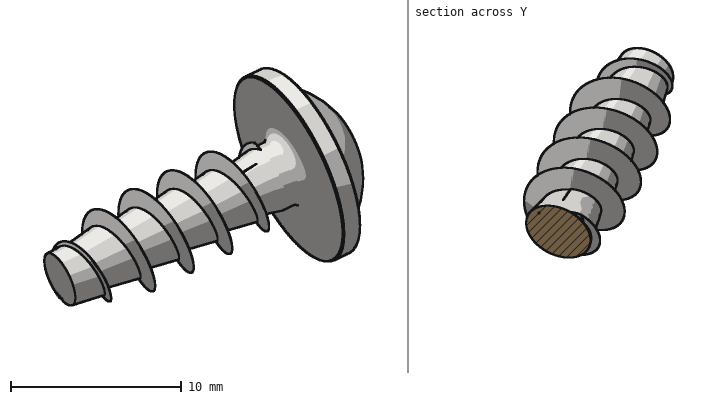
import cadquery as cq
import math

total_length = 19.6

flange_radius = 6.0
flange_top = 2.4
flange_bottom = 3.63
flange_chamfer = 0.08
dome_top_radius = 2.43
dome_sphere_radius = 5.6

neck_radius = 2.04
neck_fillet = 0.75
neck_end = 5.05
core_radius = 1.57
core_start = 7.25
tip_point_height = 0.05

pitch = 2.69
thread_start = 4.78
thread_turns = 6
crest_radius = 3.0
crest_start_radius = 2.3
crest_end_radius = 1.69
full_crest_start = 1.0
full_crest_end = 4.0
slope_fade_start = 4.5
fade_end = 5.5
front_width = 0.47
back_width = 0.59
foot_radius = 1.47
ramp_low_radius = 1.63
ramp_length = 2.59
buried_radius = 1.18
pieces_per_turn = 2
samples_per_piece = 12


def make_body():
    """Revolve the head and the plain shank about the screw axis."""
    sphere_depth = math.sqrt(dome_sphere_radius**2 - dome_top_radius**2)

    def dome_radius(depth):
        return math.sqrt(dome_sphere_radius**2 - (sphere_depth - depth) ** 2)

    shank_end = total_length - tip_point_height
    fillet_mid = neck_fillet * (1 - math.sqrt(0.5))
    return (
        cq.Workplane("XY")
        .moveTo(0, 0)
        .lineTo(dome_top_radius, 0)
        .threePointArc(
            (dome_radius(flange_top / 2), -flange_top / 2),
            (dome_radius(flange_top), -flange_top),
        )
        .lineTo(flange_radius - flange_chamfer, -flange_top)
        .lineTo(flange_radius, -flange_top - flange_chamfer)
        .lineTo(flange_radius, -flange_bottom + flange_chamfer)
        .lineTo(flange_radius - flange_chamfer, -flange_bottom)
        .lineTo(neck_radius + neck_fillet, -flange_bottom)
        .threePointArc(
            (neck_radius + fillet_mid, -flange_bottom - fillet_mid),
            (neck_radius, -flange_bottom - neck_fillet),
        )
        .lineTo(neck_radius, -neck_end)
        .lineTo(core_radius, -core_start)
        .lineTo(core_radius, -shank_end)
        .lineTo(0, -total_length)
        .close()
        .revolve(360, (0, 0, 0), (0, 1, 0))
    )


def blend(turn, first_turn, last_turn, first_value, last_value):
    """Change a value evenly between two turns and hold it level outside them."""
    part = (turn - first_turn) / (last_turn - first_turn)
    part = min(max(part, 0), 1)
    return first_value + part * (last_value - first_value)


def crest_at(turn):
    """Crest radius: rises below the neck, stays level, then fades out at the tip."""
    if turn < full_crest_start:
        return blend(turn, 0, full_crest_start, crest_start_radius, crest_radius)
    return blend(turn, full_crest_end, fade_end, crest_radius, crest_end_radius)


def fin_section(turn):
    """Corners of the pointed fin as (offset along the axis, radius)."""
    crest = crest_at(turn)
    fin_scale = (crest - foot_radius) / (crest_radius - foot_radius)
    return [
        (-front_width * fin_scale, foot_radius),
        (0, crest),
        (back_width * fin_scale, foot_radius),
    ]


def ramp_section(turn):
    """Corners of the core slope between two fins as (offset along the axis, radius)."""
    high_radius = blend(turn, slope_fade_start, fade_end, neck_radius, ramp_low_radius)
    return [
        (0, buried_radius),
        (0, high_radius),
        (ramp_length, ramp_low_radius),
        (ramp_length, buried_radius),
    ]


def section_points(section_at, turn):
    """Place the corners of a thread section in space."""
    angle = 2 * math.pi * turn
    depth = thread_start + pitch * turn
    return [
        cq.Vector(-radius * math.sin(angle), -depth - offset, radius * math.cos(angle))
        for offset, radius in section_at(turn)
    ]


def make_helical_solid(section_at):
    """Join helical corner curves by ruled faces, half a turn at a time, and close both ends."""
    faces = []
    for piece in range(thread_turns * pieces_per_turn):
        turns = [
            (piece + sample / samples_per_piece) / pieces_per_turn
            for sample in range(samples_per_piece + 1)
        ]
        sections = [section_points(section_at, turn) for turn in turns]
        curves = [cq.Edge.makeSpline(list(points)) for points in zip(*sections)]
        for index, curve in enumerate(curves):
            faces.append(cq.Face.makeRuledSurface(curve, curves[(index + 1) % len(curves)]))
    for turn in (0, thread_turns):
        outline = cq.Wire.makePolygon(section_points(section_at, turn), close=True)
        faces.append(cq.Face.makeFromWires(outline))
    return cq.Workplane(cq.Solid.makeSolid(cq.Shell.makeShell(faces)))


def trim_to_shank(thread):
    """Keep only what lies between the neck and the tip."""
    shank_space = (
        cq.Workplane("XZ", origin=(0, -neck_end, 0))
        .circle(flange_radius)
        .extrude(total_length - tip_point_height - neck_end)
    )
    return thread.intersect(shank_space)


ramp = trim_to_shank(make_helical_solid(ramp_section))
fin = trim_to_shank(make_helical_solid(fin_section))
result = make_body().union(ramp).union(fin)